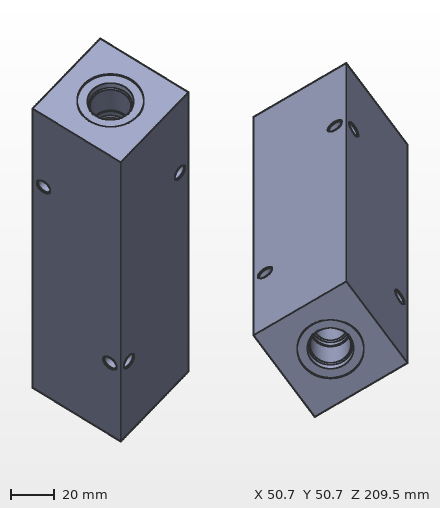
import cadquery as cq
import math

width = 50.7
height = 209.5

spotface_diameter = 30.4
spotface_depth = 0.8
mouth_diameter = 21.2
mouth_depth = 2.7
mouth_wall_angle = 12
thread_diameter = 18.6
thread_depth = 18.9
drill_diameter = 17.5
drill_depth = 22.0
drill_tip_angle = 59
bore_diameter = 16.0

hole_diameter = 7.0
countersink_diameter = 8.0
hole_offset = 19.0
hole_height = 51.0


def end_port():
    """Stepped and tapered cutter for the port in the top face, as a solid of revolution about Z."""
    top = height / 2
    spotface_floor = top - spotface_depth
    mouth_floor = spotface_floor - mouth_depth
    mouth_floor_radius = mouth_diameter / 2 - mouth_depth * math.tan(math.radians(mouth_wall_angle))
    taper_end = mouth_floor - (mouth_floor_radius - thread_diameter / 2)
    thread_end = spotface_floor - thread_depth
    drill_end = spotface_floor - drill_depth
    drill_tip = drill_end - drill_diameter / 2 / math.tan(math.radians(drill_tip_angle))
    return (
        cq.Workplane("XZ")
        .moveTo(0, top)
        .lineTo(spotface_diameter / 2, top)
        .lineTo(spotface_diameter / 2, spotface_floor)
        .lineTo(mouth_diameter / 2, spotface_floor)
        .lineTo(mouth_floor_radius, mouth_floor)
        .lineTo(thread_diameter / 2, taper_end)
        .lineTo(thread_diameter / 2, thread_end)
        .lineTo(drill_diameter / 2, thread_end)
        .lineTo(drill_diameter / 2, drill_end)
        .lineTo(0, drill_tip)
        .close()
        .revolve(360, (0, 0), (0, 1))
    )


def cross_hole():
    """Cutter along Z through the full width, countersunk at both ends."""
    sink_depth = (countersink_diameter - hole_diameter) / 2
    half = width / 2
    return (
        cq.Workplane("XZ")
        .moveTo(0, half)
        .lineTo(countersink_diameter / 2, half)
        .lineTo(hole_diameter / 2, half - sink_depth)
        .lineTo(hole_diameter / 2, sink_depth - half)
        .lineTo(countersink_diameter / 2, -half)
        .lineTo(0, -half)
        .close()
        .revolve(360, (0, 0), (0, 1))
    )


result = cq.Workplane("XY").box(width, width, height)

result = result.cut(cq.Workplane("XY").circle(bore_diameter / 2).extrude(height / 2, both=True))
port = end_port()
result = result.cut(port).cut(port.mirror("XY"))

along_x = cross_hole().rotate((0, 0, 0), (0, 1, 0), 90)
along_y = cross_hole().rotate((0, 0, 0), (1, 0, 0), 90)
for side in (1, -1):
    result = result.cut(along_x.translate((0, side * hole_offset, side * hole_height)))
    result = result.cut(along_y.translate((-side * hole_offset, 0, side * hole_height)))